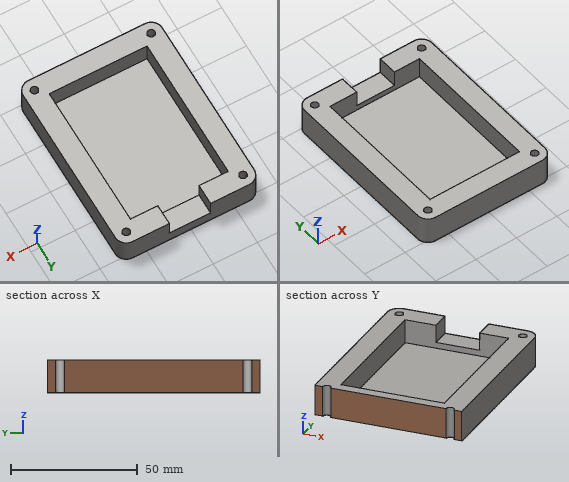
import cadquery as cq

width = 62.9
length = 84.0
height = 13.0
corner_radius = 5.0

wall = 9.3
floor_thickness = 3.0
pocket_width = width - 2 * wall
pocket_length = length - 2 * wall

notch_width = 18.6
notch_depth = 7.5
notch_offset = 0.4

hole_diameter = 3.4
hole_spacing_x = width - 2 * corner_radius
hole_spacing_y = length - 2 * corner_radius


def make_block():
    block = cq.Workplane("XY").box(width, length, height, centered=(True, True, False))
    return block.edges("|Z").fillet(corner_radius)


def make_pocket():
    depth = height - floor_thickness
    pocket = cq.Workplane("XY").workplane(offset=floor_thickness)
    return pocket.rect(pocket_width, pocket_length).extrude(depth)


def make_notch():
    wall_center_y = (length - wall) / 2
    notch = cq.Workplane("XY").workplane(offset=height - notch_depth)
    return notch.center(notch_offset, wall_center_y).rect(notch_width, wall).extrude(notch_depth)


def make_screw_holes():
    holes = cq.Workplane("XY").rect(hole_spacing_x, hole_spacing_y, forConstruction=True)
    return holes.vertices().circle(hole_diameter / 2).extrude(height)


result = make_block().cut(make_pocket()).cut(make_notch()).cut(make_screw_holes())